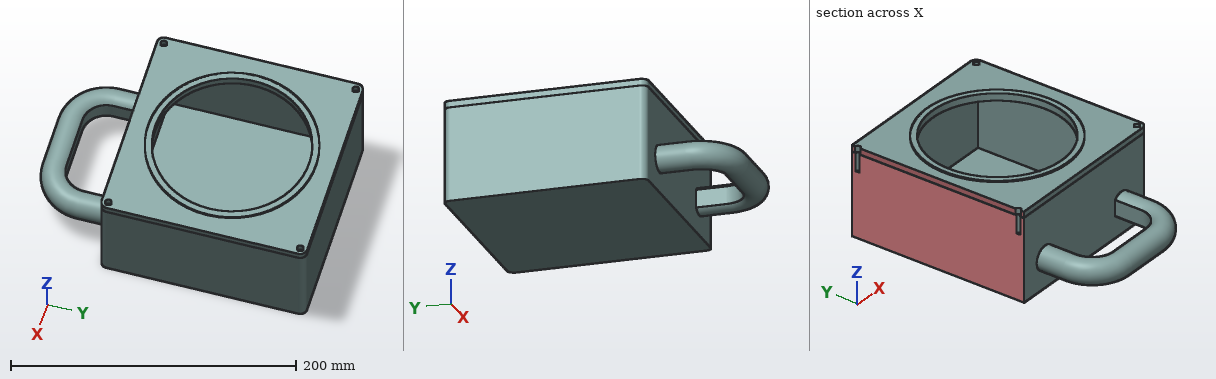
import cadquery as cq
import math

box_side = 150.0
corner_radius = 5.0
box_height = 70.0
wall = 10.0
cavity_side = box_side - 2 * wall

lid_thickness = 5.0
rim_height = 1.0
rim_width = 5.0
opening_diameter = 112.5
rim_diameter = opening_diameter + 2 * rim_width

screw_spacing = box_side - wall
clearance_diameter = 4.5
thread_diameter = 3.0
thread_depth = 15.0

bar_radius = 10.0
flat_offset = 7.5
leg_length = 22.5
bend_radius = 25.0
grip_length = 40.0
handle_height = 25.0
leg_spacing = grip_length + 2 * bend_radius


def corner_holes(base_z, diameter, depth):
    """Four upright cylinders at the screw positions, rising from base_z."""
    return (
        cq.Workplane("XY", origin=(0, 0, base_z))
        .rect(screw_spacing, screw_spacing, forConstruction=True)
        .vertices()
        .circle(diameter / 2)
        .extrude(depth)
    )


def rounded_plate(base_z, thickness):
    """Square block with rounded upright edges."""
    return (
        cq.Workplane("XY", origin=(0, 0, base_z))
        .rect(box_side, box_side)
        .extrude(thickness)
        .edges("|Z")
        .fillet(corner_radius)
    )


def make_box():
    cavity = (
        cq.Workplane("XY", origin=(0, 0, wall))
        .rect(cavity_side, cavity_side)
        .extrude(box_height - wall)
    )
    threads = corner_holes(box_height - thread_depth, thread_diameter, thread_depth)
    return rounded_plate(0, box_height).cut(cavity).cut(threads)


def make_lid():
    rim = (
        cq.Workplane("XY", origin=(0, 0, box_height + lid_thickness))
        .circle(rim_diameter / 2)
        .extrude(rim_height)
    )
    opening = (
        cq.Workplane("XY", origin=(0, 0, box_height))
        .circle(opening_diameter / 2)
        .extrude(lid_thickness + rim_height)
    )
    clearances = corner_holes(box_height, clearance_diameter, lid_thickness)
    return rounded_plate(box_height, lid_thickness).union(rim).cut(opening).cut(clearances)


def make_handle():
    """Sweep the flattened bar section along a U that starts and ends on the box front."""
    front_y = -box_side / 2
    bend_start_y = front_y - leg_length
    grip_y = bend_start_y - bend_radius
    leg_x = leg_spacing / 2
    grip_x = grip_length / 2
    bend_reach = bend_radius * math.sqrt(0.5)

    path = (
        cq.Workplane("XY", origin=(0, 0, handle_height))
        .moveTo(-leg_x, front_y)
        .lineTo(-leg_x, bend_start_y)
        .threePointArc((-grip_x - bend_reach, bend_start_y - bend_reach), (-grip_x, grip_y))
        .lineTo(grip_x, grip_y)
        .threePointArc((grip_x + bend_reach, bend_start_y - bend_reach), (leg_x, bend_start_y))
        .lineTo(leg_x, front_y)
    )
    flat_half_width = math.sqrt(bar_radius**2 - flat_offset**2)
    section = (
        cq.Workplane("XZ", origin=(-leg_x, front_y, handle_height))
        .moveTo(flat_offset, flat_half_width)
        .threePointArc((-bar_radius, 0), (flat_offset, -flat_half_width))
        .close()
    )
    return section.sweep(path)


box = make_box()
lid = make_lid()
handle = make_handle()

result = cq.Compound.makeCompound([box.val(), lid.val(), handle.val()])